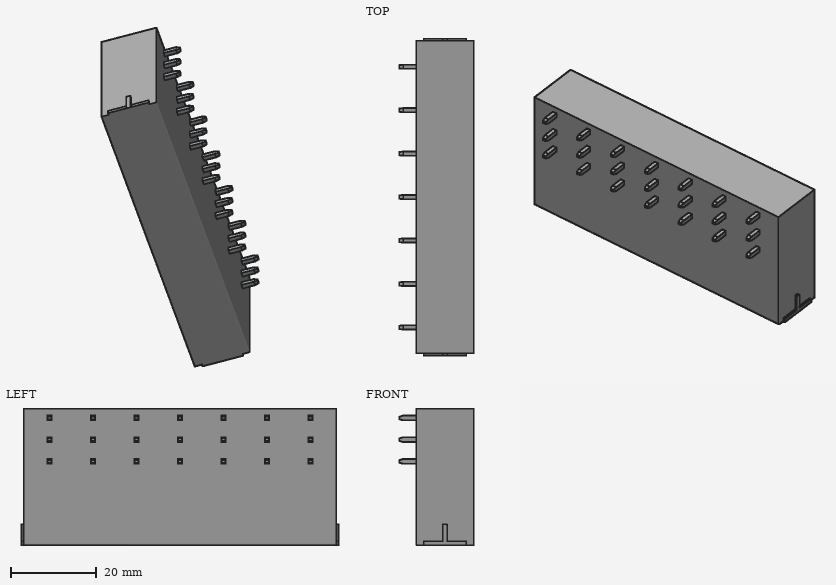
import cadquery as cq

overall_width = 17.4
overall_length = 74.15
height = 32.0

pin_columns = 7
pin_rows = 3
column_pitch = 10.15
row_pitch = column_pitch / 2
top_row_depth = 2.15
pin_length = 3.9
pin_width = 1.05
pin_height = 1.2
tip_length = 0.9
tip_width = 0.8
tip_height = 0.6

rib_thickness = 0.5
rib_bar_length = 10.0
rib_bar_height = 1.0
rib_stem_width = 1.05
rib_stem_height = 5.0
rib_corner_radius = 0.2

body_width = overall_width - pin_length
body_length = overall_length - 2 * rib_thickness
bottom_edge_radius = 0.45


def make_body():
    """Plain block with its pin face on X = 0 and its base on Z = 0."""
    block = cq.Workplane("XY").box(body_width, body_length, height, centered=(False, True, False))
    return block.edges("<X and <Z").fillet(bottom_edge_radius)


def make_ribs():
    """Upside-down T on each end face; both run through the body as one piece."""
    centering = (True, True, False)
    bar = cq.Workplane("XY").box(rib_bar_length, overall_length, rib_bar_height, centered=centering)
    stem = cq.Workplane("XY").box(rib_stem_width, overall_length, rib_stem_height, centered=centering)
    bar = bar.edges("|Y and >Z").fillet(rib_corner_radius)
    stem = stem.edges("|Y and >Z").fillet(rib_corner_radius)
    return bar.union(stem).translate((body_width / 2, 0, 0))


def make_pin(y, z):
    """Rectangular pin pointing to -X, with a tapered tip."""
    shank_length = pin_length - tip_length
    face = cq.Workplane("YZ", origin=(0, y, z))
    shank = face.rect(pin_width, pin_height).extrude(-shank_length)
    tip = (
        face.workplane(offset=-shank_length)
        .rect(pin_width, pin_height)
        .workplane(offset=-tip_length)
        .rect(tip_width, tip_height)
        .loft()
    )
    return shank.union(tip)


result = make_body().union(make_ribs())

for column in range(pin_columns):
    pin_y = (column - (pin_columns - 1) / 2) * column_pitch
    for row in range(pin_rows):
        pin_z = height - top_row_depth - row * row_pitch
        result = result.union(make_pin(pin_y, pin_z))